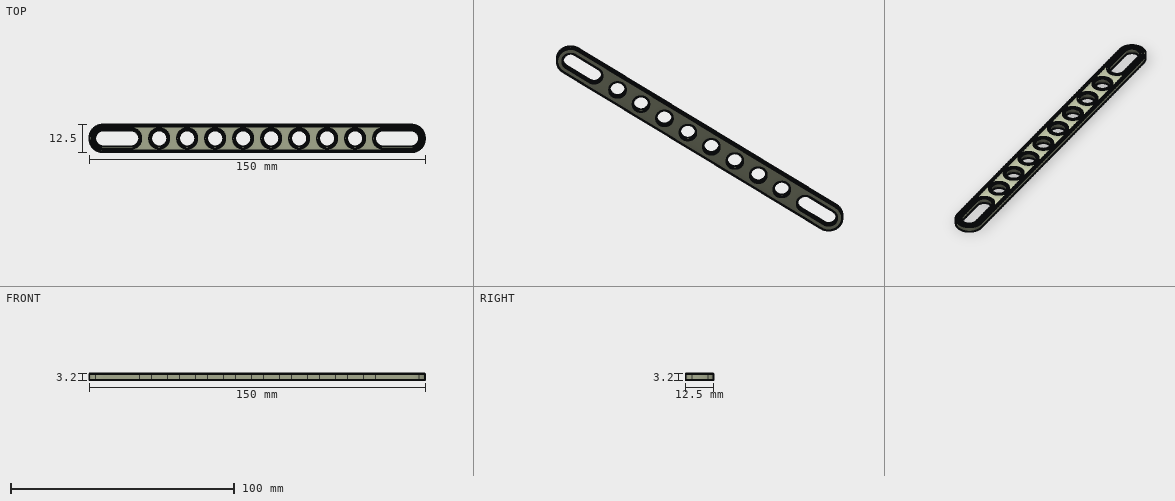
import cadquery as cq

length = 150.0
pitch_count = 12
pitch = length / pitch_count
width = pitch
thickness = 3.2
edge_chamfer = 0.3

opening_width = 7.0
collar_width = 9.2
round_hole_count = 8
slot_straight = pitch

border = 1.0
recess_depth = 0.25

top_z = thickness / 2
floor_z = top_z - recess_depth
first_hole_x = -(round_hole_count - 1) * pitch / 2
hole_points = [(first_hole_x + i * pitch, 0) for i in range(round_hole_count)]
slot_x = (length - width - slot_straight) / 2
slot_points = [(-slot_x, 0), (slot_x, 0)]


def opening_prisms(base_z, size, height):
    """Prisms over every round hole and slot, all of the same width across."""
    plane = cq.Workplane("XY", origin=(0, 0, base_z))
    rounds = plane.pushPoints(hole_points).circle(size / 2).extrude(height)
    slots = plane.pushPoints(slot_points).slot2D(slot_straight + size, size).extrude(height)
    return rounds.union(slots)


def recess():
    """Shallow pocket between the border and the collars around the openings."""
    floor = cq.Workplane("XY", origin=(0, 0, floor_z))
    pocket = floor.slot2D(length - 2 * border, width - 2 * border).extrude(recess_depth)
    return pocket.cut(opening_prisms(floor_z, collar_width, recess_depth))


strip = cq.Workplane("XY").slot2D(length, width).extrude(top_z, both=True)
strip = strip.cut(opening_prisms(-top_z, opening_width, thickness))

strip = strip.faces("<Z or >Z").chamfer(edge_chamfer)

result = strip.cut(recess())